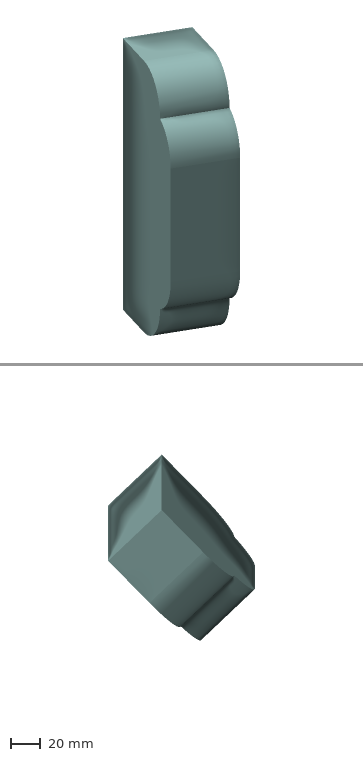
import cadquery as cq
import math

width = 90.0
depth = 50.0
height = 200.0

lobe_radius = 30.0
step_x = 70.0

half_height = height / 2
flat_end_x = step_x - lobe_radius
step_z = half_height - lobe_radius
inner_center_x = width - lobe_radius
step_angle = math.acos((step_x - inner_center_x) / lobe_radius)
inner_center_z = step_z - lobe_radius * math.sin(step_angle)


def arc_middle(center_x, center_z, end_angle):
    """Point halfway along a lobe that runs from the +X direction to end_angle."""
    angle = end_angle / 2
    return (center_x + lobe_radius * math.cos(angle), center_z + lobe_radius * math.sin(angle))


def mirrored(point):
    """Same point on the lower half of the outline."""
    return (point[0], -point[1])


outer_start = (flat_end_x, half_height)
outer_middle = arc_middle(flat_end_x, step_z, math.pi / 2)
step = (step_x, step_z)
inner_middle = arc_middle(inner_center_x, inner_center_z, step_angle)
inner_end = (width, inner_center_z)

result = (
    cq.Workplane("XZ")
    .moveTo(0, -half_height)
    .lineTo(0, half_height)
    .lineTo(*outer_start)
    .threePointArc(outer_middle, step)
    .threePointArc(inner_middle, inner_end)
    .lineTo(*mirrored(inner_end))
    .threePointArc(mirrored(inner_middle), mirrored(step))
    .threePointArc(mirrored(outer_middle), mirrored(outer_start))
    .close()
    .extrude(-depth)
)